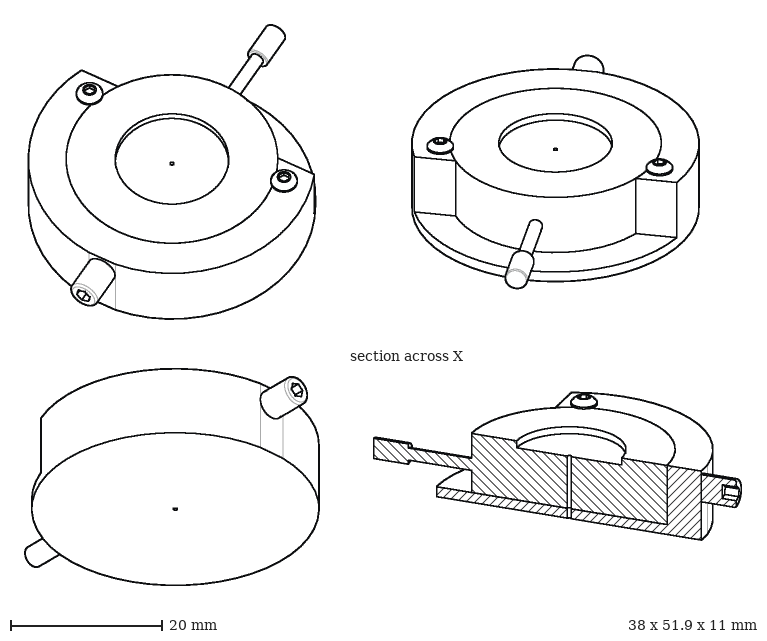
import cadquery as cq
import math

housing_radius = 19.0
housing_height = 10.0
floor_thickness = 1.5
shoulder_y = 7.0
flat_width = 4.0
flat_y = -math.sqrt(housing_radius**2 - (flat_width / 2) ** 2)

insert_radius = 14.0
recess_radius = 7.5
recess_depth = 1.0
pinhole_diameter = 0.5
lever_z = 5.5
lever_radius = 0.9
lever_tip_y = 28.0
knob_radius = 1.5
knob_length = 5.0
knob_edge_fillet = 0.15

side_screw_radius = flat_width / 2
side_screw_length = 5.0
side_screw_z = 7.5
side_screw_edge_fillet = 0.3
side_socket_across_flats = 1.8
side_socket_depth = 2.0
side_socket_turn = -12.0

button_radius = 1.75
button_height = 1.0
button_rim_height = 0.25
button_top_radius = 0.87
button_x = 14.75
button_y = 4.0
button_socket_across_flats = 1.3
button_socket_depth = 0.6


def hexagon_corner_size(across_flats):
    """Corner-to-corner size of a hexagon with the given width across flats."""
    return across_flats / math.cos(math.pi / 6)


def make_housing():
    body = cq.Workplane("XY").circle(housing_radius).extrude(housing_height)
    wall_height = housing_height - floor_thickness

    rear_cut = (
        cq.Workplane("XY")
        .box(2 * housing_radius, housing_radius, wall_height, centered=(True, False, False))
        .translate((0, shoulder_y, floor_thickness))
    )
    pocket = (
        cq.Workplane("XY", origin=(0, 0, floor_thickness))
        .circle(insert_radius)
        .extrude(wall_height)
    )
    front_cut = (
        cq.Workplane("XY")
        .box(2 * housing_radius, housing_radius, housing_height, centered=(True, False, False))
        .translate((0, flat_y - housing_radius, 0))
    )
    pinhole = cq.Workplane("XY").circle(pinhole_diameter / 2).extrude(floor_thickness)

    return body.cut(rear_cut).cut(pocket).cut(front_cut).cut(pinhole)


def make_insert():
    disc = (
        cq.Workplane("XY", origin=(0, 0, floor_thickness))
        .circle(insert_radius)
        .extrude(housing_height - floor_thickness)
    )
    recess_floor_z = housing_height - recess_depth
    recess = (
        cq.Workplane("XY", origin=(0, 0, recess_floor_z))
        .circle(recess_radius)
        .extrude(recess_depth)
    )
    pinhole = cq.Workplane("XY").circle(pinhole_diameter / 2).extrude(housing_height)

    lever_start_y = (insert_radius + recess_radius) / 2
    lever = (
        cq.Workplane("XZ", origin=(0, lever_start_y, lever_z))
        .circle(lever_radius)
        .extrude(lever_start_y - lever_tip_y)
    )
    knob = (
        cq.Workplane("XZ", origin=(0, lever_tip_y, lever_z))
        .circle(knob_radius)
        .extrude(knob_length)
        .edges("%CIRCLE")
        .fillet(knob_edge_fillet)
    )
    return disc.union(lever).union(knob).cut(recess).cut(pinhole)


def make_side_screw():
    screw = (
        cq.Workplane("XZ", origin=(0, flat_y, side_screw_z))
        .circle(side_screw_radius)
        .extrude(side_screw_length)
        .faces("<Y")
        .edges()
        .fillet(side_screw_edge_fillet)
    )
    socket = (
        cq.Workplane("XZ", origin=(0, flat_y - side_screw_length, side_screw_z))
        .transformed(rotate=(0, 0, 90 + side_socket_turn))
        .polygon(6, hexagon_corner_size(side_socket_across_flats))
        .extrude(-side_socket_depth)
    )
    return screw.cut(socket)


def make_button_screw(x):
    dome_rise = button_height - button_rim_height
    centre_drop = (button_radius**2 - button_top_radius**2 - dome_rise**2) / (2 * dome_rise)
    dome_radius = math.hypot(button_radius, centre_drop)
    mid_rise = dome_rise / 2
    mid_radius = math.sqrt(dome_radius**2 - (centre_drop + mid_rise) ** 2)

    head = (
        cq.Workplane("XZ")
        .lineTo(button_radius, 0)
        .lineTo(button_radius, button_rim_height)
        .threePointArc(
            (mid_radius, button_rim_height + mid_rise),
            (button_top_radius, button_height),
        )
        .lineTo(0, button_height)
        .close()
        .revolve(360, (0, 0, 0), (0, 1, 0))
    )
    socket = (
        cq.Workplane("XY", origin=(0, 0, button_height))
        .polygon(6, hexagon_corner_size(button_socket_across_flats))
        .extrude(-button_socket_depth)
    )
    return head.cut(socket).translate((x, button_y, housing_height))


housing = make_housing()
insert = make_insert()
side_screw = make_side_screw()
button_screws = [make_button_screw(side * button_x) for side in (-1, 1)]

result = cq.Compound.makeCompound(
    [
        housing.val(),
        insert.val(),
        side_screw.val(),
        *[screw.val() for screw in button_screws],
    ]
)